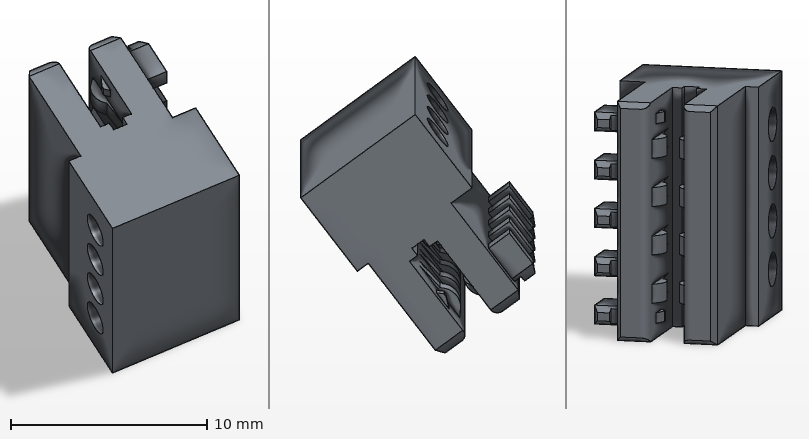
import cadquery as cq
import math

length = 11.0
depth = 7.3
height = 12.4

block_front_x = 6.18
front_arm_y = (0.7, 2.44)
rear_arm_y = (4.23, 5.98)
slot_bottom_x = 5.0
groove_bottom_x = 5.47
groove_width = 0.77

tip_chamfer_length = 0.47
tip_chamfer_drop = 0.27
tip_fillet = 0.42

pitch = 2.5
wire_count = 4
latch_count = 5
nub_edge_distance = 1.03

hole_diameter = 1.75
hole_x = 9.09

latch_start_x = 0.46
latch_end_x = 2.99
latch_height = 0.98
latch_chamfer_length = 0.53
latch_chamfer_drop = 0.27
latch_notch_length = 0.32
latch_notch_depth = 0.41

contact_height = 0.98
contact_peak_x = 1.72
contact_radius = 1.02
contact_slope = math.radians(42)
front_contact_rise = 0.56
rear_contact_rise = 0.52
tail_start_rise = 0.14
tail_end_x = 4.09

nub_height = 0.55
nub_start_x = 1.62
nub_crest_start_x = 2.27
nub_crest_end_x = 2.43
nub_rise = 0.27

embed = 0.12


def box(x_range, y_range, z_range):
    """Box spanning the given ranges."""
    size = [high - low for low, high in (x_range, y_range, z_range)]
    corner = (x_range[0], y_range[0], z_range[0])
    return cq.Workplane("XY").box(*size, centered=False).translate(corner)


def row(count):
    """Z positions of a row of features centred on the housing."""
    return [height / 2 + pitch * (i - (count - 1) / 2) for i in range(count)]


def make_arm(y_range, inner_y):
    """Arm with chamfered tip edges and a rounded edge facing the slot."""
    outer_y = y_range[0] if inner_y == y_range[1] else y_range[1]
    inward = 1 if inner_y > outer_y else -1
    fillet_middle = tip_fillet * (1 - math.sqrt(0.5))
    plan = (
        cq.Workplane("XY")
        .moveTo(block_front_x, outer_y)
        .lineTo(tip_chamfer_length, outer_y)
        .lineTo(0, outer_y + inward * tip_chamfer_drop)
        .lineTo(0, inner_y - inward * tip_fillet)
        .threePointArc((fillet_middle, inner_y - inward * fillet_middle), (tip_fillet, inner_y))
        .lineTo(block_front_x, inner_y)
        .close()
        .extrude(height)
    )
    side = (
        cq.Workplane("XZ", origin=(0, y_range[1], 0))
        .polyline([
            (block_front_x, 0),
            (tip_chamfer_length, 0),
            (0, tip_chamfer_drop),
            (0, height - tip_chamfer_drop),
            (tip_chamfer_length, height),
            (block_front_x, height),
        ])
        .close()
        .extrude(y_range[1] - y_range[0])
    )
    return plan.intersect(side)


def make_housing():
    """Block with both arms, the end of the slot and the groove at its bottom."""
    slot_y = (front_arm_y[1], rear_arm_y[0])
    slot_middle = sum(slot_y) / 2
    groove_y = (slot_middle - groove_width / 2, slot_middle + groove_width / 2)
    block = box((block_front_x, length), (0, depth), (0, height))
    web = box((slot_bottom_x, block_front_x), (front_arm_y[0], rear_arm_y[1]), (0, height))
    groove = box((slot_bottom_x, groove_bottom_x), groove_y, (0, height))
    housing = block.union(web.cut(groove))
    housing = housing.union(make_arm(front_arm_y, front_arm_y[1]))
    return housing.union(make_arm(rear_arm_y, rear_arm_y[0]))


def make_wire_holes():
    """Row of round holes through the block along Y."""
    return (
        cq.Workplane("XZ")
        .pushPoints([(hole_x, z) for z in row(wire_count)])
        .circle(hole_diameter / 2)
        .extrude(-depth)
    )


def make_latch(z):
    """Latch on the back of the rear arm, tapered at its front and undercut by a notch."""
    base_y = rear_arm_y[1]
    taper_end_x = latch_start_x + latch_chamfer_length
    notch_x = latch_start_x + latch_notch_length
    notch_y = base_y + latch_notch_depth
    plan = (
        cq.Workplane("XY", origin=(0, 0, z - latch_height / 2))
        .polyline([
            (latch_end_x, base_y - embed),
            (notch_x, base_y - embed),
            (notch_x, notch_y),
            (latch_start_x, notch_y),
            (latch_start_x, depth - latch_chamfer_drop),
            (taper_end_x, depth),
            (latch_end_x, depth),
        ])
        .close()
        .extrude(latch_height)
    )
    half = latch_height / 2
    half_tip = half - latch_chamfer_drop
    side = (
        cq.Workplane("XZ", origin=(0, depth, z))
        .polyline([
            (latch_end_x, -half),
            (taper_end_x, -half),
            (latch_start_x, -half_tip),
            (latch_start_x, half_tip),
            (taper_end_x, half),
            (latch_end_x, half),
        ])
        .close()
        .extrude(depth - base_y + embed)
    )
    return plan.intersect(side)


def make_contact(z, arm_y, inward, rise):
    """Bent spring contact: a round bump between straight flanks, with a sloping tail."""
    arc_run = contact_radius * math.sin(contact_slope)
    flank_rise = rise - contact_radius * (1 - math.cos(contact_slope))
    flank_run = 1 / math.tan(contact_slope)
    foot_run = arc_run + (flank_rise + embed) * flank_run
    tail_start_x = contact_peak_x + arc_run + (flank_rise - tail_start_rise) * flank_run

    def point(x, above_arm):
        return (x, arm_y + inward * above_arm)

    return (
        cq.Workplane("XY", origin=(0, 0, z - contact_height / 2))
        .moveTo(*point(contact_peak_x - foot_run, -embed))
        .lineTo(*point(contact_peak_x - arc_run, flank_rise))
        .threePointArc(point(contact_peak_x, rise), point(contact_peak_x + arc_run, flank_rise))
        .lineTo(*point(tail_start_x, tail_start_rise))
        .lineTo(*point(tail_end_x, 0))
        .lineTo(*point(tail_end_x, -embed))
        .close()
        .extrude(contact_height)
    )


def make_nub(z, arm_y, inward):
    """Small ramped nub on the slot side of an arm."""
    base_y = arm_y - inward * embed
    crest_y = arm_y + inward * nub_rise
    back_x = nub_crest_end_x + nub_rise
    return (
        cq.Workplane("XY", origin=(0, 0, z - nub_height / 2))
        .polyline([
            (nub_start_x, base_y),
            (nub_start_x, arm_y),
            (nub_crest_start_x, crest_y),
            (nub_crest_end_x, crest_y),
            (back_x, arm_y),
            (back_x, base_y),
        ])
        .close()
        .extrude(nub_height)
    )


result = make_housing().cut(make_wire_holes())

for latch_z in row(latch_count):
    result = result.union(make_latch(latch_z))

slot_walls = [
    (front_arm_y[1], 1, front_contact_rise),
    (rear_arm_y[0], -1, rear_contact_rise),
]
for wall_y, inward, rise in slot_walls:
    for contact_z in row(wire_count):
        result = result.union(make_contact(contact_z, wall_y, inward, rise))
    for nub_z in (nub_edge_distance, height - nub_edge_distance):
        result = result.union(make_nub(nub_z, wall_y, inward))